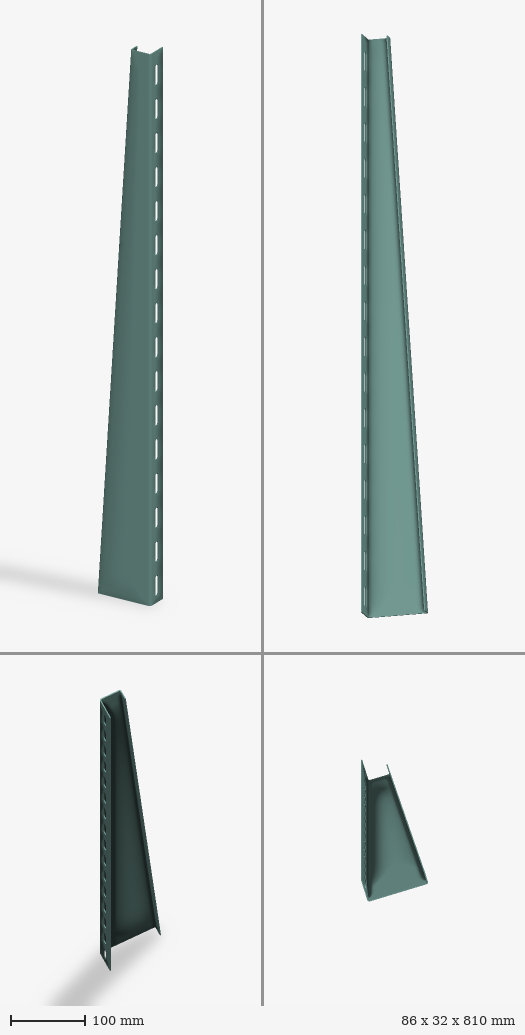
import cadquery as cq
import math


height = 810.0
bottom_width = 86.0
top_width = 32.5
straight_flange_depth = 32.0
slanted_flange_depth = 15.0

thickness = 1.5
inner_radius = 1.5
outer_radius = inner_radius + thickness

slot_count = 16
slot_pitch = 50.0
slot_length = 30.0
slot_width = 7.0
first_slot_height = 25.0

taper_angle = math.atan((bottom_width - top_width) / height)
end_dip = thickness * math.sin(taper_angle)
web_height = height - end_dip
slanted_length = web_height / math.cos(taper_angle)


def flange_strip(depth, length):
    """Flange along +Z with its outer face on X = 0, bent toward +X into the web at Y = 0."""
    bend_offset = outer_radius * (1 - math.sqrt(0.5))
    inner_offset = outer_radius - inner_radius * math.sqrt(0.5)
    return (
        cq.Workplane("XY")
        .moveTo(0, depth)
        .lineTo(0, outer_radius)
        .threePointArc((bend_offset, bend_offset), (outer_radius, 0))
        .lineTo(outer_radius, thickness)
        .threePointArc((inner_offset, inner_offset), (thickness, outer_radius))
        .lineTo(thickness, depth)
        .close()
        .extrude(length)
    )


def straight_flange():
    strip = flange_strip(straight_flange_depth, web_height).mirror("YZ")
    return strip.translate((bottom_width, 0, end_dip))


def slanted_flange():
    strip = flange_strip(slanted_flange_depth, slanted_length)
    below_web = cq.Workplane("XY").box(bottom_width, outer_radius, 2 * end_dip, centered=False)
    below_web = below_web.translate((0, 0, -end_dip))
    tilted = strip.rotate((0, 0, 0), (0, 1, 0), math.degrees(taper_angle))
    return tilted.translate((0, 0, end_dip)).cut(below_web)


def web():
    """Flat trapezoid between the two bend lines."""
    bottom_left = outer_radius / math.cos(taper_angle)
    top_left = bottom_left + web_height * math.tan(taper_angle)
    right = bottom_width - outer_radius
    return (
        cq.Workplane("XZ")
        .polyline([(bottom_left, end_dip), (right, end_dip), (right, height), (top_left, height)])
        .close()
        .extrude(-thickness)
    )


def slots():
    """Column of round-ended cutters centred on the depth of the straight flange."""
    column_centre = first_slot_height + slot_pitch * (slot_count - 1) / 2
    return (
        cq.Workplane("YZ", origin=(bottom_width - outer_radius, 0, 0))
        .center(straight_flange_depth / 2, column_centre)
        .rarray(8, slot_pitch, 1, slot_count)
        .slot2D(slot_length, slot_width, 90)
        .extrude(2 * outer_radius)
    )


result = web().union(straight_flange().cut(slots())).union(slanted_flange())